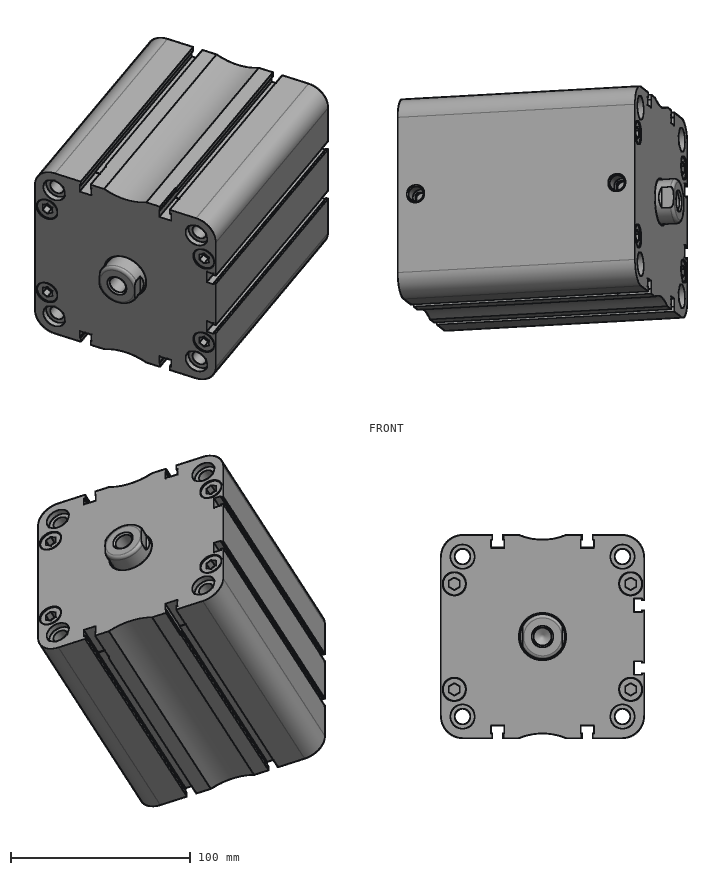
import cadquery as cq
import math


total_length = 147.0
rod_projection = 10.1
body_length = total_length - rod_projection
body_width = 113.3
half_width = body_width / 2
corner_radius = 12.5

hollow_half_width = 13.2
hollow_depth = 2.6

slot_mouth_width = 5.7
slot_inner_width = 7.4
top_slot_offset = 25.0
top_slot_depth = 6.9
top_slot_lip = 2.8
side_slot_offset = 17.5
side_slot_depth = 5.6
side_slot_lip = 1.3

cap_length = 19.3
cap_slot_step = 0.5

mount_offset = 44.5
mount_diameter = 8.5
mount_bore_diameter = 13.5
mount_bore_depth = 3.5

screw_offset_x = 49.1
screw_offset_z = 29.4
screw_bore_diameter = 13.1
screw_bore_depth = 8.0
screw_head_diameter = 12.6
screw_head_recess = 0.6
socket_across_flats = 6.0
socket_depth = 5.0

port_end_distance = 10.5
port_mouth_diameter = 10.1
port_diameter = 8.5
port_depth = 10.0
port_passage_diameter = 6.0
port_passage_depth = 3.0

rod_diameter = 25.0
rod_radius = rod_diameter / 2
rod_end_round = 1.9
flat_half_width = 11.0
flat_length = 6.8
gland_diameter = 25.5
gland_mouth_diameter = 26.5
gland_depth = 3.0

rod_hole_diameter = 10.0
rod_hole_mouth_diameter = 12.0
rod_hole_depth = 20.0
drill_point_angle = 120.0

into_body = cq.Vector(0, 1, 0)
into_side = cq.Vector(1, 0, 0)


def cylinder(diameter, length, start, direction):
    return cq.Solid.makeCylinder(diameter / 2, length, start, direction)


def countersink(mouth_diameter, diameter, start, direction):
    """45 degree cone from the mouth down to the hole diameter."""
    depth = (mouth_diameter - diameter) / 2
    return cq.Solid.makeCone(mouth_diameter / 2, diameter / 2, depth, start, direction)


def drill_point(diameter, start, direction):
    length = diameter / 2 / math.tan(math.radians(drill_point_angle / 2))
    return cq.Solid.makeCone(diameter / 2, 0, length, start, direction)


def mirrored_pairs(x, z):
    return [(side * x, end * z) for side in (-1, 1) for end in (-1, 1)]


def body_block():
    return (
        cq.Workplane("XZ")
        .rect(body_width, body_width)
        .extrude(-body_length)
        .edges("|Y")
        .fillet(corner_radius)
    )


def hollow():
    """Segment of a cylinder running along the top face."""
    return (
        cq.Workplane("XZ")
        .moveTo(-hollow_half_width, half_width)
        .threePointArc((0, half_width - hollow_depth), (hollow_half_width, half_width))
        .close()
        .extrude(-body_length)
    )


def t_slot(offset, depth, lip):
    """T-slot running along the top face at the given X."""
    mouth = (
        cq.Workplane("XZ")
        .center(offset, half_width - depth / 2)
        .rect(slot_mouth_width, depth)
        .extrude(-body_length)
    )
    inner_height = depth - lip
    inner = (
        cq.Workplane("XZ")
        .center(offset, half_width - depth + inner_height / 2)
        .rect(slot_inner_width, inner_height)
        .extrude(-body_length)
    )
    return mouth.union(inner)


def cap_relief(offset):
    """Enlarges a top slot within the front cap: deeper floor, and mouth widened towards the centre."""
    floor_depth = top_slot_depth + cap_slot_step
    inner_height = floor_depth - top_slot_lip
    inner = (
        cq.Workplane("XZ")
        .center(offset, half_width - floor_depth + inner_height / 2)
        .rect(slot_inner_width, inner_height)
        .extrude(-cap_length)
    )
    towards_centre = -math.copysign(cap_slot_step, offset)
    mouth = (
        cq.Workplane("XZ")
        .center(offset + towards_centre, half_width - top_slot_lip / 2)
        .rect(slot_mouth_width, top_slot_lip)
        .extrude(-cap_length)
    )
    return mouth.union(inner)


def turned(tool, angle):
    """Tool turned about the rod axis; 90 moves it from the top face to the +X face."""
    return tool.rotate((0, 0, 0), (0, 1, 0), angle)


def cut_outline_grooves(body):
    for face_angle in (0, 180):
        body = body.cut(turned(hollow(), face_angle))
        for side in (-1, 1):
            offset = side * top_slot_offset
            slot = t_slot(offset, top_slot_depth, top_slot_lip)
            slot = slot.union(cap_relief(offset))
            body = body.cut(turned(slot, face_angle))
    for side in (-1, 1):
        slot = t_slot(side * side_slot_offset, side_slot_depth, side_slot_lip)
        body = body.cut(turned(slot, 90))
    return body


def cut_mounting_holes(body):
    for x, z in mirrored_pairs(mount_offset, mount_offset):
        start = cq.Vector(x, 0, z)
        body = body.cut(cq.Workplane(cylinder(mount_diameter, body_length, start, into_body)))
        body = body.cut(cq.Workplane(cylinder(mount_bore_diameter, mount_bore_depth, start, into_body)))
    return body


def screw_head():
    """Screw head centred on the Y axis, with its hexagon socket pointing to -Y."""
    corner_diameter = socket_across_flats / math.cos(math.pi / 6)
    head_length = screw_bore_depth - screw_head_recess
    head = cq.Workplane("XZ", origin=(0, screw_head_recess, 0)).circle(screw_head_diameter / 2)
    socket = (
        cq.Workplane("XZ", origin=(0, screw_head_recess, 0))
        .transformed(rotate=(0, 0, 90))
        .polygon(6, corner_diameter)
        .extrude(-socket_depth)
    )
    return head.extrude(-head_length).cut(socket)


def add_screws(body):
    head = screw_head()
    for x, z in mirrored_pairs(screw_offset_x, screw_offset_z):
        bore = cylinder(screw_bore_diameter, screw_bore_depth, cq.Vector(x, 0, z), into_body)
        body = body.cut(cq.Workplane(bore))
        body = body.union(head.translate((x, 0, z)))
    return body


def cut_ports(body):
    for y in (port_end_distance, body_length - port_end_distance):
        mouth = cq.Vector(-half_width, y, 0)
        port_floor = mouth + into_side * port_depth
        for tool in (
            countersink(port_mouth_diameter, port_diameter, mouth, into_side),
            cylinder(port_diameter, port_depth, mouth, into_side),
            cylinder(port_passage_diameter, port_passage_depth, port_floor, into_side),
        ):
            body = body.cut(cq.Workplane(tool))
    return body


def cut_gland(body):
    """Countersunk clearance around the rod in the front face."""
    face = cq.Vector(0, 0, 0)
    body = body.cut(cq.Workplane(countersink(gland_mouth_diameter, gland_diameter, face, into_body)))
    return body.cut(cq.Workplane(cylinder(gland_diameter, gland_depth, face, into_body)))


def rod_flat():
    """Material removed for the +X wrench flat, with a 45 degree run-out towards the body."""
    flat_end = flat_length - rod_projection
    run_out = rod_radius - flat_half_width
    return (
        cq.Workplane("XY", origin=(0, 0, -rod_radius))
        .moveTo(flat_half_width, -rod_projection)
        .lineTo(flat_half_width, flat_end)
        .lineTo(rod_radius, flat_end + run_out)
        .lineTo(rod_radius, -rod_projection)
        .close()
        .extrude(rod_diameter)
    )


def piston_rod():
    tip = cq.Vector(0, -rod_projection, 0)
    rod = cq.Workplane(cylinder(rod_diameter, rod_projection + gland_depth, tip, into_body))
    rod = rod.faces("<Y").edges().fillet(rod_end_round)
    for angle in (0, 180):
        rod = rod.cut(turned(rod_flat(), angle))
    return rod


def cut_rod_hole(body):
    tip = cq.Vector(0, -rod_projection, 0)
    for tool in (
        countersink(rod_hole_mouth_diameter, rod_hole_diameter, tip, into_body),
        cylinder(rod_hole_diameter, rod_hole_depth, tip, into_body),
        drill_point(rod_hole_diameter, tip + into_body * rod_hole_depth, into_body),
    ):
        body = body.cut(cq.Workplane(tool))
    return body


result = body_block()
result = cut_outline_grooves(result)
result = cut_mounting_holes(result)
result = add_screws(result)
result = cut_ports(result)
result = cut_gland(result)
result = result.union(piston_rod())
result = cut_rod_hole(result)